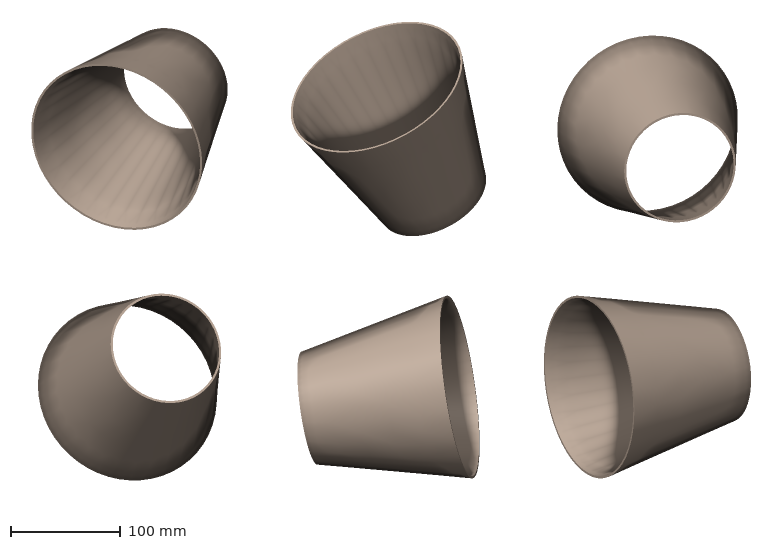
import cadquery as cq

large_diameter = 168.3
small_diameter = 104.0
length = 140.0
wall = 2.0

large_radius = large_diameter / 2
small_radius = small_diameter / 2

wall_section = (
    cq.Workplane("XY")
    .moveTo(large_radius, 0)
    .lineTo(small_radius, length)
    .lineTo(small_radius - wall, length)
    .lineTo(large_radius - wall, 0)
    .close()
)

result = wall_section.revolve(360, (0, 0, 0), (0, 1, 0))